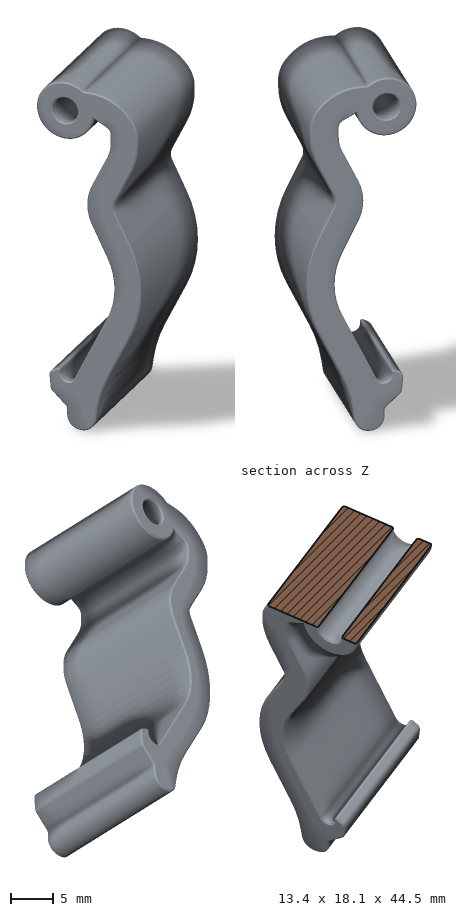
import cadquery as cq
import math

height = 44.45
width = 18.1
edge_break = 0.2

eye_radius = 3.65
bore_radius = 1.6
eye_center = (eye_radius, height - eye_radius)

strap_corners = [
    (10.1, 43.65, 6.65),
    (12.95, 39.85, 4.0),
    (12.95, 35.8, 8.9),
    (9.7, 29.3, 1.7),
    (14.95, 18.85, 13.35),
    (8.05, 5.1, 15.55),
    (7.3, 0, 1.8),
    (3.85, 0, 1.8),
    (3.85, 2.7, 0.4),
    (1.8, 4.65, 0.62),
    (1.55, 6.95, 0.7),
    (3.02, 7.75, 0.25),
    (2.95, 6.05, 1.02),
    (4.6, 6.05, 0.85),
    (10.95, 18.8, 8.65),
    (5.8, 29.17, 5.65),
    (9.43, 36.45, 4.0),
    (9.43, 39.2, 0.9),
]
strap_root = (6.35, 40.9)
strap_top = (5.85, 43.63)
strap_underside = (6.65, 40.6)


def end_to_end(sketch):
    """Extrude an XZ outline over the full width, symmetric in Y."""
    return sketch.extrude(width / 2, both=True)


def make_eye():
    ring = cq.Workplane("XZ").center(*eye_center).circle(eye_radius).circle(bore_radius)
    return end_to_end(ring)


def add_rounded_corner(outline, before, corner, after, radius):
    """Continue an outline to a corner and round it with an arc tangent to both sides."""
    point = cq.Vector(*corner)
    toward_before = (cq.Vector(*before) - point).normalized()
    toward_after = (cq.Vector(*after) - point).normalized()
    half_angle = toward_before.getAngle(toward_after) / 2
    tangent_length = radius / math.tan(half_angle)
    middle_distance = radius / math.sin(half_angle) - radius

    start = point + toward_before * tangent_length
    middle = point + (toward_before + toward_after).normalized() * middle_distance
    end = point + toward_after * tangent_length
    return outline.lineTo(start.x, start.y).threePointArc((middle.x, middle.y), (end.x, end.y))


def make_strap():
    """Wavy strap with the hook and toe at its lower end."""
    outline = cq.Workplane("XZ").moveTo(*strap_root).lineTo(*strap_top)
    corners = [(x, z) for x, z, _ in strap_corners]
    befores = [strap_top] + corners[:-1]
    afters = corners[1:] + [strap_underside]
    for before, (x, z, radius), after in zip(befores, strap_corners, afters):
        outline = add_rounded_corner(outline, before, (x, z), after, radius)
    return end_to_end(outline.lineTo(*strap_underside).close())


def break_ends(body):
    """Chamfer all edges of the two end faces."""
    return body.faces("<Y or >Y").edges().chamfer(edge_break)


result = break_ends(make_eye()).union(break_ends(make_strap()))